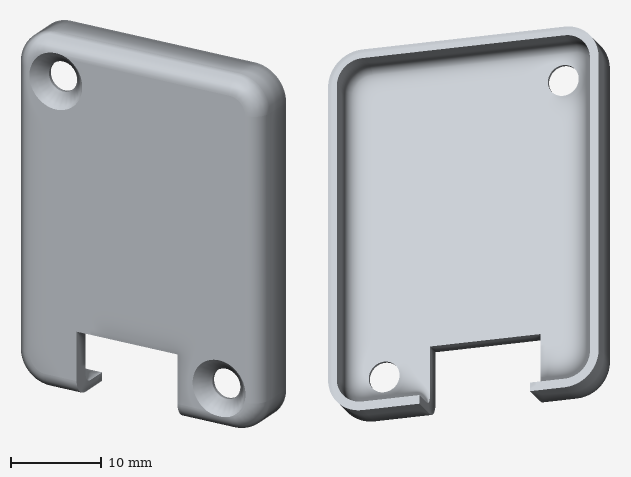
import cadquery as cq

width = 31.7
depth = 5.6
height = 42.5
corner_radius = 4.0
front_edge_radius = 2.0

wall = 1.0
plate_thickness = 2.0
inner_edge_radius = front_edge_radius - wall

hole_diameter = 3.6
countersink_diameter = 6.8
countersink_angle = 90.0
hole_from_side = 5.35
hole_from_end = 4.97

notch_width = 12.95
notch_height = 7.95
notch_from_left = 8.05


def rounded_block(block_width, block_depth, block_height, side_radius, face_radius):
    """Block centred in X and Z, from Y=0 to block_depth, with a rounded front face."""
    block = cq.Workplane("XY").box(
        block_width, block_depth, block_height, centered=(True, False, True)
    )
    return block.edges("|Y").fillet(side_radius).faces("<Y").edges().fillet(face_radius)


body = rounded_block(width, depth, height, corner_radius, front_edge_radius)
cavity = rounded_block(
    width - 2 * wall,
    depth - plate_thickness,
    height - 2 * wall,
    corner_radius - wall,
    inner_edge_radius,
).translate((0, plate_thickness, 0))
body = body.cut(cavity)

hole_x = width / 2 - hole_from_side
hole_z = height / 2 - hole_from_end
body = (
    body.faces("<Y")
    .workplane(origin=(0, 0, 0))
    .pushPoints([(-hole_x, hole_z), (hole_x, -hole_z)])
    .cskHole(hole_diameter, countersink_diameter, countersink_angle)
)

notch = (
    cq.Workplane("XY")
    .box(notch_width, depth, notch_height, centered=False)
    .translate((notch_from_left - width / 2, 0, -height / 2))
)

result = body.cut(notch)